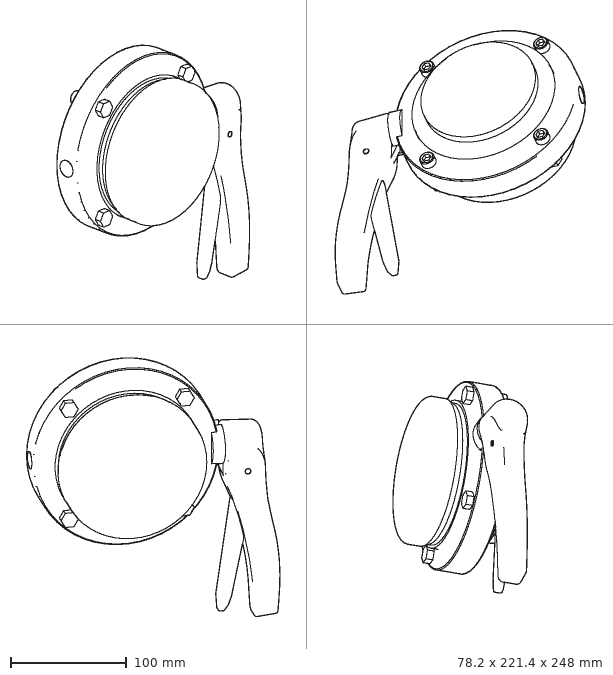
import cadquery as cq
import math


TOTAL_HEIGHT = 248.0
OVERLAP = 2.5
SPLIT_BLOCK = 2 * TOTAL_HEIGHT

FLANGE_RADIUS = 82.8
FLANGE_HALF = 12.2
FLANGE_EDGE = 1.0

HUB_RADIUS = 65.0
HUB_LENGTH = 7.2
HUB_ROOT_FILLET = 0.7
HUB_FACE = FLANGE_HALF + HUB_LENGTH
PLAIN_RADIUS = 52.0
PLAIN_END = -34.2
PLAIN_LENGTH = 7.5
NECK_RADIUS = 62.2
NECK_END = 23.5
LINER_START = 29.3
LINER_END = 44.0
LINER_FILLET = 3.7

BOLT_COUNT = 4
BOLT_CIRCLE_RADIUS = 73.2
HEAD_RADIUS = 6.5
HEAD_CHAMFER = 0.7
SOCKET_CORNER_RADIUS = 4.0
SOCKET_DEPTH = 4.0
NUT_CORNER_RADIUS = 7.7
NUT_HEIGHT = 6.2

PLUG_RADIUS = 7.7
PLUG_DEPTH = 7.5

COLLAR_RADIUS = 19.0
COLLAR_START = 76.1
COLLAR_END = 87.0
NOTCH_HALF = 5.2
NOTCH_FLOOR = 13.6
STEM_RADIUS = 6.7

LEVER_START = 88.5
LEVER_REACH = 138.6
LEVER_BOTTOM = FLANGE_RADIUS - TOTAL_HEIGHT
LEVER_DRAFT = 4.0
DRAFT_SLOPE = math.tan(math.radians(LEVER_DRAFT))

LEVER_HEAD_RADIUS = 18.8
LEVER_BACK = 123.0
CAP_FACE = 122.5
CAP_LENGTH = CAP_FACE - LEVER_START
CAP_FILLET = 8.0
SHOULDER_END = -59.5
SHOULDER_FACE = 130.0
SHOULDER_HALF = 11.7
SHOULDER_FILLET = 2.5

GRIP_TOP = -37.2
GRIP_TOP_HALF = 13.5
GRIP_BOTTOM_HALF = 12.6
GRIP_END_INNER = 116.0
GRIP_END_OUTER = 136.5
GRIP_CORNER_RADIUS = 7.0
GRIP_EDGE_FILLET = 2.0
GRIP_BACK_FILLET = 2.5

TRIGGER_HALF = 4.0
TRIGGER_BOTTOM = -158.5
TRIGGER_ARM_TOP = -52.8
WEB_TOP = -15.5
WEB_BOTTOM = -55.8
WEB_BACK = 104.2
TRIGGER_FILLET = 2.0
TRIGGER_TIP_FILLET = 2.5
PIN_RADIUS = 2.5
PIN_Y = 108.5
PIN_Z = -24.8
PIN_HALF = 13.5


def cylinder_x(radius, start, end):
    return cq.Workplane("YZ", origin=(start, 0, 0)).circle(radius).extrude(end - start)


def cylinder_y(radius, start, end):
    return cq.Workplane("XZ", origin=(0, start, 0)).circle(radius).extrude(start - end)


def prism_x(outline, half):
    return outline.extrude(half, both=True)


def make_body():
    """Flange, hubs and pipe ends as one turned profile about X."""
    hub = HUB_RADIUS
    root = HUB_ROOT_FILLET
    edge = FLANGE_EDGE
    profile = (
        cq.Workplane("XY")
        .moveTo(PLAIN_END, 0)
        .lineTo(PLAIN_END, PLAIN_RADIUS)
        .lineTo(PLAIN_END + PLAIN_LENGTH, PLAIN_RADIUS)
        .lineTo(-HUB_FACE, hub)
        .lineTo(-FLANGE_HALF - root, hub)
        .radiusArc((-FLANGE_HALF, hub + root), -root)
        .lineTo(-FLANGE_HALF, FLANGE_RADIUS - edge)
        .radiusArc((-FLANGE_HALF + edge, FLANGE_RADIUS), edge)
        .lineTo(FLANGE_HALF - edge, FLANGE_RADIUS)
        .radiusArc((FLANGE_HALF, FLANGE_RADIUS - edge), edge)
        .lineTo(FLANGE_HALF, hub + root)
        .radiusArc((FLANGE_HALF + root, hub), -root)
        .lineTo(HUB_FACE, hub)
        .lineTo(HUB_FACE, NECK_RADIUS)
        .lineTo(NECK_END, NECK_RADIUS)
        .lineTo(LINER_START, hub)
        .lineTo(LINER_END - LINER_FILLET, hub)
        .radiusArc((LINER_END, hub - LINER_FILLET), LINER_FILLET)
        .lineTo(LINER_END, 0)
        .close()
    )
    return profile.revolve(360, (0, 0, 0), (1, 0, 0))


def make_bolt():
    """Socket-head bolt and hexagon nut on the X axis."""
    head = cylinder_x(HEAD_RADIUS, -HUB_FACE, -FLANGE_HALF)
    head = head.faces("<X").chamfer(HEAD_CHAMFER)
    socket = (
        cq.Workplane("YZ", origin=(-HUB_FACE, 0, 0))
        .polygon(6, 2 * SOCKET_CORNER_RADIUS)
        .extrude(SOCKET_DEPTH)
    )
    nut = (
        cq.Workplane("YZ", origin=(FLANGE_HALF, 0, 0))
        .polygon(6, 2 * NUT_CORNER_RADIUS)
        .extrude(NUT_HEIGHT)
    )
    return head.cut(socket), nut


def make_collar():
    """Collar with a notch at top and bottom, and the stem through it."""
    collar = cylinder_y(COLLAR_RADIUS, COLLAR_START, COLLAR_END)
    notch_height = COLLAR_RADIUS - NOTCH_FLOOR
    middle_y = (COLLAR_START + COLLAR_END) / 2
    middle_z = (COLLAR_RADIUS + NOTCH_FLOOR) / 2
    for side in (-1, 1):
        notch = cq.Workplane("XY").box(2 * NOTCH_HALF, COLLAR_END - COLLAR_START, notch_height)
        collar = collar.cut(notch.translate((0, middle_y, side * middle_z)))
    return collar.union(cylinder_y(STEM_RADIUS, COLLAR_START, LEVER_START + OVERLAP))


def make_lever_plan():
    """Drafted block: round head blending into a long grip."""
    head = LEVER_HEAD_RADIUS
    drop = -GRIP_TOP
    blend = (drop**2 + GRIP_TOP_HALF**2 - head**2) / (2 * (head - GRIP_TOP_HALF))
    blend_x = GRIP_TOP_HALF + blend
    angle = math.atan2(drop, blend_x)
    touch = (head * math.cos(angle), -head * math.sin(angle))
    lowest_y = GRIP_END_INNER + GRIP_EDGE_FILLET
    end = LEVER_BOTTOM - (lowest_y - LEVER_START) * DRAFT_SLOPE
    corner = GRIP_CORNER_RADIUS
    plan = (
        cq.Workplane("XZ", origin=(0, LEVER_START, 0))
        .moveTo(-touch[0], touch[1])
        .threePointArc((0, head), touch)
        .radiusArc((GRIP_TOP_HALF, GRIP_TOP), -blend)
        .lineTo(GRIP_BOTTOM_HALF, end + corner)
        .radiusArc((GRIP_BOTTOM_HALF - corner, end), corner)
        .lineTo(corner - GRIP_BOTTOM_HALF, end)
        .radiusArc((-GRIP_BOTTOM_HALF, end + corner), corner)
        .lineTo(-GRIP_TOP_HALF, GRIP_TOP)
        .radiusArc((-touch[0], touch[1]), -blend)
        .close()
    )
    return plan.extrude(LEVER_START - LEVER_REACH - OVERLAP, taper=LEVER_DRAFT)


def make_lever_side():
    """Curved side outline of the lever, seen along X."""
    top = LEVER_HEAD_RADIUS + OVERLAP
    outline = (
        cq.Workplane("YZ")
        .moveTo(LEVER_START, top)
        .lineTo(LEVER_START, PIN_Z)
        .spline(
            [(95.7, -50.0), (107.0, -88.5), (114.0, -134.5), (GRIP_END_INNER, LEVER_BOTTOM)],
            tangents=[(0, -1), (0.1, -1)],
            includeCurrent=True,
        )
        .lineTo(GRIP_END_INNER, LEVER_BOTTOM - OVERLAP)
        .lineTo(GRIP_END_OUTER, LEVER_BOTTOM - OVERLAP)
        .spline(
            [
                (137.1, -158.2),
                (LEVER_REACH, -126.5),
                (134.5, -86.8),
                (127.7, -55.5),
                (125.2, -24.8),
                (LEVER_BACK, 0),
            ],
            includeCurrent=True,
        )
        .lineTo(LEVER_BACK, top)
        .close()
    )
    return prism_x(outline, top)


def upper_half():
    return cq.Workplane("XY").rect(SPLIT_BLOCK, SPLIT_BLOCK).extrude(SPLIT_BLOCK)


def make_dome():
    """Upper half of the lever's head: a drafted round cap with a domed edge."""
    cap = (
        cq.Workplane("XZ", origin=(0, LEVER_START, 0))
        .circle(LEVER_HEAD_RADIUS)
        .extrude(-CAP_LENGTH, taper=LEVER_DRAFT)
        .faces(">Y")
        .edges()
        .fillet(CAP_FILLET)
    )
    return cap.intersect(upper_half())


def shoulder_section(z, face_y, face_half, fillet):
    """Rounded outline across the lever, wide open toward -Y."""
    tail = LEVER_REACH
    tail_half = face_half + tail * DRAFT_SLOPE
    block = (
        cq.Workplane("XY", origin=(0, 0, z))
        .moveTo(-face_half, face_y)
        .lineTo(face_half, face_y)
        .lineTo(tail_half, face_y - tail)
        .lineTo(-tail_half, face_y - tail)
        .close()
        .extrude(-OVERLAP)
        .edges("|Z and >Y")
        .fillet(fillet)
    )
    return block.faces(">Z").wires().val()


def make_shoulder():
    """Envelope below the dome, where the domed edge shrinks and runs out."""
    face_half = LEVER_HEAD_RADIUS - CAP_LENGTH * DRAFT_SLOPE
    start = shoulder_section(0, CAP_FACE, face_half, CAP_FILLET)
    end = shoulder_section(SHOULDER_END, SHOULDER_FACE, SHOULDER_HALF, SHOULDER_FILLET)
    shoulder = cq.Workplane(cq.Solid.makeLoft([start, end], True))
    below = upper_half().translate((0, 0, SHOULDER_END - SPLIT_BLOCK))
    return shoulder.union(below)


def is_grip_back_edge(edge):
    """True for the long edges between the grip's back and its two flanks."""
    middle = edge.Center()
    on_back = middle.y > CAP_FACE and middle.z < GRIP_TOP
    on_flank = abs(middle.x) > SHOULDER_HALF / 2
    return edge.geomType() == "BSPLINE" and on_back and on_flank


def make_lever():
    """Dome and grip joined at Z = 0, with rounded back and front edges."""
    lower = make_lever_plan().cut(upper_half()).intersect(make_lever_side())
    lever = lower.intersect(make_shoulder()).union(make_dome())
    back_edges = [edge for edge in lever.edges().vals() if is_grip_back_edge(edge)]
    lever = cq.Workplane(lever.val().fillet(GRIP_BACK_FILLET, back_edges))
    front_edges = lever.faces("<Y").edges("not |X").vals()
    return cq.Workplane(lever.val().fillet(GRIP_EDGE_FILLET, front_edges))


def make_trigger():
    """Flat trigger: a rounded arm below and a web whose tip sits in the collar notch."""
    arm = prism_x(
        cq.Workplane("YZ")
        .moveTo(96.5, TRIGGER_ARM_TOP)
        .lineTo(83.5, -143.5)
        .lineTo(84.5, TRIGGER_BOTTOM)
        .lineTo(90.0, TRIGGER_BOTTOM)
        .lineTo(94.0, -153.0)
        .lineTo(96.7, -145.3)
        .lineTo(107.1, -94.0)
        .lineTo(111.5, TRIGGER_ARM_TOP)
        .close(),
        TRIGGER_HALF,
    )
    arm = arm.faces("<Z").edges("|X").fillet(TRIGGER_TIP_FILLET)
    arm = arm.faces("<X or >X").edges().fillet(TRIGGER_FILLET)
    web = prism_x(
        cq.Workplane("YZ")
        .moveTo(82.5, WEB_TOP)
        .lineTo(90.3, -33.5)
        .lineTo(99.2, WEB_BOTTOM)
        .lineTo(WEB_BACK, WEB_BOTTOM)
        .lineTo(WEB_BACK, WEB_TOP)
        .close(),
        TRIGGER_HALF,
    )
    return arm.union(web)


def make_pin():
    """Trigger pivot pin across the lever."""
    return cylinder_x(PIN_RADIUS, -PIN_HALF, PIN_HALF).translate((0, PIN_Y, PIN_Z))


def make_plug():
    return cylinder_y(PLUG_RADIUS, -FLANGE_RADIUS, PLUG_DEPTH - FLANGE_RADIUS)


result = make_body()
for index in range(BOLT_COUNT):
    angle = 2 * math.pi * (index + 0.5) / BOLT_COUNT
    place = (0, BOLT_CIRCLE_RADIUS * math.cos(angle), BOLT_CIRCLE_RADIUS * math.sin(angle))
    for piece in make_bolt():
        result = result.union(piece.translate(place))
for piece in (make_plug(), make_collar(), make_lever(), make_trigger(), make_pin()):
    result = result.union(piece)